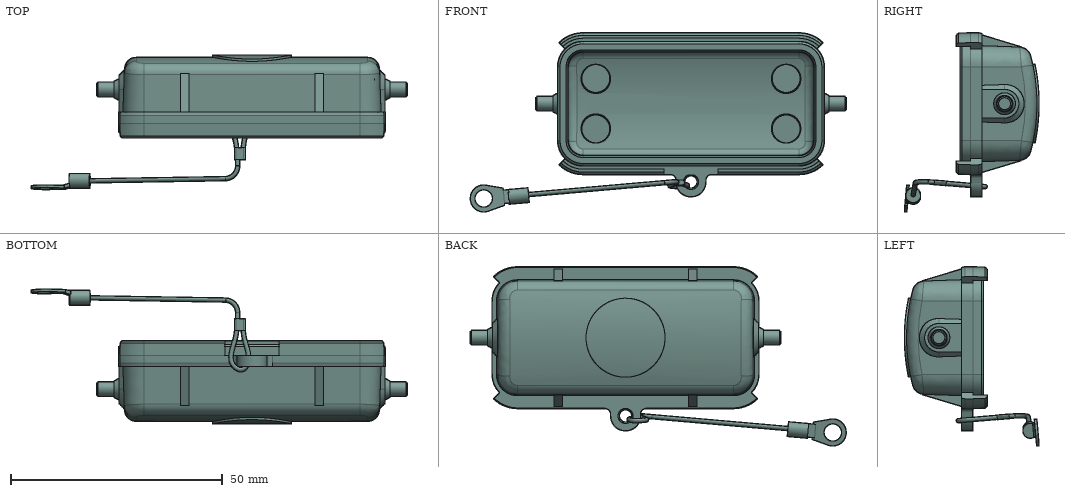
import cadquery as cq
import math


core_half_x = 25.5
core_half_z = 8.7

rim_radius = 6.05
rim_front_y = 0.9
rim_chamfer = 0.5
flange_front_y = 3.5
flange_back_y = 6.1
front_draft = 2.0
body_radius = 5.2
body_draft = 2.0
back_y = 19.1
back_dome_radius = 44.45
back_fillet = 2.85
overshoot = 1.8

cavity_radius = 3.6
cavity_draft = 0.5
cavity_fillet = 2.0
mouth_flare = 0.45
floor_thickness = 1.6
floor_y = back_y - floor_thickness
floor_dome_radius = back_dome_radius - floor_thickness

lip_outer_radius = 8.1
lip_inner_radius = 6.8
lip_chamfer = 0.5
lip_bevel_depth = 0.8
lip_bevel_draft = 15.0
lip_gap_width = 12.8
half_height = core_half_z + lip_outer_radius

pad_x = 22.5
pad_z = 6.0
pad_radius = 3.6
pad_draft = 10.0
pad_front_y = 16.0

rib_x = 15.9
rib_width = 2.0
rib_end_y = 15.3
rib_half_height = 16.3
rib_end_sink = 0.4
rib_end_half_height = core_half_z + body_radius - rib_end_sink

pin_y = 11.5
pin_radius = 1.8
pin_end_x = 36.7
pin_chamfer = 0.4
collar_radius = 2.6
collar_tip_radius = 2.0
collar_end_x = 32.6
boss_radius = 4.6
boss_setback = 0.1
boss_face_x = core_half_x + rim_radius - boss_setback
boss_chamfer = 1.25
boss_root_x = 29.3

lug_radius = 3.6
lug_z = -18.5
lug_fillet = 1.25
lug_hole_radius = 1.4
lug_hole_chamfer = 0.4

badge_radius = 9.3
badge_height = 0.5

cord_radius = 0.5
cord_slope = -0.085
cord_z_at_front = -19.0
sleeve_x = -2.85
sleeve_front_y = -5.2
sleeve_back_y = -2.3
sleeve_width = 2.7
sleeve_thickness = 1.2
sleeve_corner = 0.45
leg_spread = 0.8
cord_insertion = 0.45
run_offset = 0.5
barrel_insertion = 0.9
loop_places = [
    (sleeve_x + leg_spread, sleeve_back_y - cord_insertion),
    (-1.4, 0.9),
    (-0.9, 4.45),
    (-2.3, 6.85),
    (-4.45, 5.8),
    (-4.8, 2.7),
    (sleeve_x - leg_spread, sleeve_back_y - cord_insertion),
]
bend_start_y = -6.6
bend_middle = cq.Vector(-4.3, -8.7, -18.5)
bend_end = cq.Vector(-6.2, -9.6, -18.7)

ring_x = -49.0
ring_y = -11.65
ring_z = -22.4
ring_radius = 3.2
ring_hole_radius = 2.05
ring_thickness = 0.6
ring_tangent_angle = 75.0
ring_pitch = 5.0
ring_roll = 5.0
neck_length = 4.8
neck_half_width = 2.05
bridge_half_width = 1.6
bridge_overlap = 0.2
barrel_start = 5.9
barrel_end = 10.7
barrel_radius = 1.8
barrel_offset_y = 1.5


def plane_at(y):
    """Plane facing +Y; its local x is X and its local y is -Z."""
    return cq.Workplane(cq.Plane(origin=(0, y, 0), xDir=(1, 0, 0), normal=(0, 1, 0)))


def rounded_block(radius, start_y, end_y, draft=0.0):
    """Core rectangle grown by a radius, extruded along Y."""
    outline = cq.Sketch().rect(2 * (core_half_x + radius), 2 * (core_half_z + radius))
    outline = outline.vertices().fillet(radius)
    return plane_at(start_y).placeSketch(outline).extrude(end_y - start_y, taper=draft)


def dome_cylinder(apex_y, radius):
    """Cylinder along X whose rear side peaks at apex_y."""
    return cq.Workplane("YZ").center(apex_y - radius, 0).circle(radius).extrude(2 * core_half_x, both=True)


def domed_block(radius, start_y, apex_y, dome_radius, draft, fillet):
    """Drafted block with a cylindrical, filleted back."""
    block = rounded_block(radius, start_y, apex_y + overshoot, draft)
    block = block.intersect(dome_cylinder(apex_y, dome_radius))
    return block.faces(">Y").edges().fillet(fillet)


def make_rim():
    """Flange with straight sides, and the rim tapering forward from it."""
    rim = rounded_block(rim_radius, flange_front_y, rim_front_y, front_draft)
    rim = rim.faces("<Y").edges().chamfer(rim_chamfer)
    return rim.union(rounded_block(rim_radius, flange_front_y, flange_back_y))


def make_lips():
    """Two curved bands, each ending on 45 degree cuts around the corner centres."""
    bevel_y = flange_back_y - lip_bevel_depth
    band = rounded_block(lip_outer_radius, flange_front_y, 0, front_draft)
    band = band.faces("<Y").edges().chamfer(lip_chamfer)
    band = band.union(rounded_block(lip_outer_radius, flange_front_y, bevel_y))
    band = band.union(rounded_block(lip_outer_radius, bevel_y, flange_back_y, lip_bevel_draft))
    band = band.cut(rounded_block(lip_inner_radius, 0, flange_front_y))
    band = band.cut(rounded_block(body_radius, 0, flange_back_y))
    reach = 2 * lip_outer_radius
    sector = [
        (-core_half_x, core_half_z),
        (core_half_x, core_half_z),
        (core_half_x + reach, core_half_z + reach),
        (-core_half_x - reach, core_half_z + reach),
    ]
    upper = cq.Workplane("XZ").polyline(sector).close().extrude(-flange_back_y)
    lips = band.intersect(upper.union(upper.mirror("XY")))
    gap = cq.Workplane("XY").box(lip_gap_width, flange_front_y, half_height, centered=(True, False, False))
    gap = gap.translate((0, 0, -core_half_z - lip_inner_radius - half_height))
    return lips.cut(gap)


def make_ribs():
    """Four wedges bracing the flange against the long walls of the body."""
    profile = [
        (flange_back_y, 0),
        (flange_back_y, rib_half_height),
        (rib_end_y, rib_end_half_height),
        (rib_end_y, 0),
    ]
    rib = cq.Workplane("YZ").polyline(profile).close().extrude(rib_width / 2, both=True)
    rib = rib.union(rib.mirror("XY"))
    return rib.translate((rib_x, 0, 0)).union(rib.translate((-rib_x, 0, 0)))


def make_pin():
    """Pin on the +X end with its collar and U-shaped boss."""
    start = cq.Workplane("YZ").workplane(offset=boss_root_x).center(pin_y, 0)
    height = boss_face_x - boss_root_x
    boss = start.circle(boss_radius).extrude(height)
    boss = boss.union(
        cq.Workplane("XY")
        .box(height, pin_y - flange_front_y, 2 * boss_radius, centered=(False, False, True))
        .translate((boss_root_x, flange_front_y, 0))
    )
    boss = boss.faces(">X").edges("not(<Y)").chamfer(boss_chamfer)
    turned = [
        (boss_root_x, 0),
        (boss_root_x, collar_radius),
        (boss_face_x, collar_radius),
        (collar_end_x, collar_tip_radius),
        (collar_end_x, pin_radius),
        (pin_end_x - pin_chamfer, pin_radius),
        (pin_end_x, pin_radius - pin_chamfer),
        (pin_end_x, 0),
    ]
    pin = cq.Workplane("XY").polyline(turned).close().revolve(360, (0, 0), (1, 0))
    return boss.union(pin.translate((0, pin_y, 0)))


def make_pads():
    """Flat round pads standing on the curved cavity floor."""
    places = [(sx * pad_x, sz * pad_z) for sx in (-1, 1) for sz in (-1, 1)]
    pads = plane_at(floor_y).pushPoints(places).circle(pad_radius)
    return pads.extrude(pad_front_y - floor_y, taper=pad_draft)


def make_badge():
    """Thin round pad that follows the curve of the domed back."""
    disc = cq.Workplane("XZ").circle(badge_radius).extrude(-(back_y + overshoot))
    disc = disc.cut(rounded_block(body_radius, 0, floor_y))
    return disc.intersect(dome_cylinder(back_y + badge_height, back_dome_radius + badge_height))


def make_lug():
    """Eyelet below the flange, blended into it by a fillet on each side."""
    depth = flange_back_y - flange_front_y
    blend_z = -half_height - lug_fillet
    blend_x = lug_radius + lug_fillet
    bulge = lug_fillet * math.sqrt(0.5)
    root_z = -core_half_z - lip_inner_radius
    lug = (
        cq.Workplane("XZ", origin=(0, flange_front_y, 0))
        .moveTo(-blend_x, root_z)
        .lineTo(-blend_x, -half_height)
        .threePointArc((-blend_x + bulge, blend_z + bulge), (-lug_radius, blend_z))
        .lineTo(-lug_radius, lug_z)
        .threePointArc((0, lug_z - lug_radius), (lug_radius, lug_z))
        .lineTo(lug_radius, blend_z)
        .threePointArc((blend_x - bulge, blend_z + bulge), (blend_x, -half_height))
        .lineTo(blend_x, root_z)
        .close()
        .extrude(-depth)
    )
    hole = cq.Workplane("XZ", origin=(0, flange_front_y, lug_z)).circle(lug_hole_radius).extrude(-depth)
    lug = lug.cut(hole)
    return lug.edges(cq.selectors.RadiusNthSelector(1)).chamfer(lug_hole_chamfer)


def cord_point(x, y):
    """Point of the gently sloping plane that holds the loop."""
    return cq.Vector(x, y, cord_z_at_front + cord_slope * y)


def sweep_cord(edge):
    """Round cord along one edge."""
    plane = cq.Plane(origin=edge.startPoint(), normal=edge.tangentAt(0))
    path = cq.Workplane("XY").add(cq.Wire.assembleEdges([edge]))
    return cq.Workplane(plane).circle(cord_radius).sweep(path)


def make_cord(cord_end):
    """Loop through the lug, crimp sleeve, and the straight run to the ring terminal."""
    forward = cq.Vector(0, -1, -cord_slope)
    loop = cq.Edge.makeSpline([cord_point(x, y) for x, y in loop_places], tangents=[-forward, forward])

    run_x = sleeve_x - run_offset
    bend_start = cord_point(run_x, bend_start_y)
    straight = cq.Edge.makeLine(cord_point(run_x, sleeve_front_y + cord_insertion), bend_start)
    bend = cq.Edge.makeThreePointArc(bend_start, bend_middle, bend_end)
    tail = cq.Edge.makeLine(bend_end, cord_end)

    sleeve_length = sleeve_back_y - sleeve_front_y
    sleeve = cq.Workplane("XY").box(sleeve_width, sleeve_length, sleeve_thickness)
    sleeve = sleeve.edges("|Y").fillet(sleeve_corner)
    sleeve = sleeve.rotate((0, 0, 0), (1, 0, 0), math.degrees(math.atan(cord_slope)))
    sleeve = sleeve.translate(cord_point(sleeve_x, (sleeve_front_y + sleeve_back_y) / 2))
    for edge in (loop, straight, bend, tail):
        sleeve = sleeve.union(sweep_cord(edge))
    return sleeve


def make_ring_terminal():
    """Flat eye tapering to a crimp barrel, built along +X from the eye centre."""
    tangent_angle = math.radians(ring_tangent_angle)
    tangent_x = ring_radius * math.cos(tangent_angle)
    tangent_z = ring_radius * math.sin(tangent_angle)
    plate = (
        cq.Workplane("XZ")
        .moveTo(tangent_x, tangent_z)
        .threePointArc((-ring_radius, 0), (tangent_x, -tangent_z))
        .lineTo(neck_length, -neck_half_width)
        .lineTo(neck_length, neck_half_width)
        .close()
        .extrude(ring_thickness / 2, both=True)
    )
    eye = cq.Workplane("XZ").circle(ring_hole_radius).extrude(ring_thickness, both=True)
    barrel = cq.Workplane("YZ", origin=(barrel_start, barrel_offset_y, 0)).circle(barrel_radius)
    bridge_profile = [
        (neck_length - ring_thickness, -ring_thickness / 2),
        (neck_length, -ring_thickness / 2),
        (barrel_start + bridge_overlap, 0),
        (barrel_start + bridge_overlap, barrel_offset_y - ring_thickness),
        (neck_length - ring_thickness, ring_thickness / 2),
    ]
    bridge = cq.Workplane("XY").polyline(bridge_profile).close().extrude(bridge_half_width, both=True)
    terminal = plate.cut(eye).union(bridge).union(barrel.extrude(barrel_end - barrel_start))
    terminal = terminal.rotate((0, 0, 0), (1, 0, 0), -ring_roll)
    terminal = terminal.rotate((0, 0, 0), (0, 1, 0), -ring_pitch)
    return terminal.translate((ring_x, ring_y, ring_z))


body = domed_block(body_radius, rim_front_y + rim_chamfer, back_y, back_dome_radius, body_draft, back_fillet)
cavity = domed_block(cavity_radius, rim_front_y, floor_y, floor_dome_radius, cavity_draft, cavity_fillet)
mouth_draft = math.degrees(math.atan(mouth_flare / (flange_front_y - rim_front_y)))
cavity = cavity.union(rounded_block(cavity_radius + mouth_flare, rim_front_y, flange_front_y, mouth_draft))

pin = make_pin()
hood = body.union(make_rim()).union(make_lips()).union(make_ribs()).union(make_badge())
hood = hood.union(pin).union(pin.mirror("YZ")).cut(cavity)
hood = hood.union(make_pads()).union(make_lug())

pitch = math.radians(ring_pitch)
tip_distance = barrel_end - barrel_insertion
cord_end = cq.Vector(
    ring_x + tip_distance * math.cos(pitch),
    ring_y + barrel_offset_y,
    ring_z + tip_distance * math.sin(pitch),
)
result = hood.union(make_ring_terminal()).union(make_cord(cord_end))